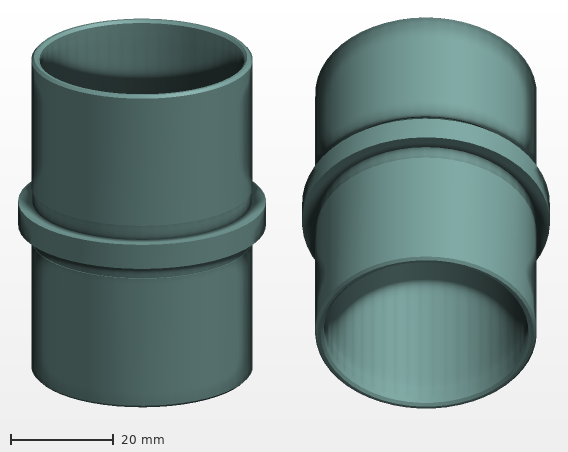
import cadquery as cq

length = 65.0
body_diameter = 43.15
bore_diameter = 40.0

collar_diameter = 48.3
collar_width = 5.0

groove_width = 3.0
groove_depth = 0.2

outer_chamfer = 0.5
inner_chamfer = 0.5

middle = length / 2


def cylinder(diameter, height, bottom):
    return cq.Workplane("XY").workplane(offset=bottom).circle(diameter / 2).extrude(height)


def ring(outer_diameter, inner_diameter, height, bottom):
    return cylinder(outer_diameter, height, bottom).cut(cylinder(inner_diameter, height, bottom))


tube = cylinder(body_diameter, length, 0).faces("<Z or >Z").chamfer(outer_chamfer)
bore = cylinder(bore_diameter, length, 0)
tube = tube.cut(bore)
bore_edges = cq.selectors.RadiusNthSelector(0)
tube = tube.faces("<Z or >Z").edges(bore_edges).chamfer(inner_chamfer)

band_width = collar_width + 2 * groove_width
groove_diameter = body_diameter - 2 * groove_depth
tube = tube.cut(ring(body_diameter, groove_diameter, band_width, middle - band_width / 2))

collar = ring(collar_diameter, bore_diameter, collar_width, middle - collar_width / 2)

result = tube.union(collar)